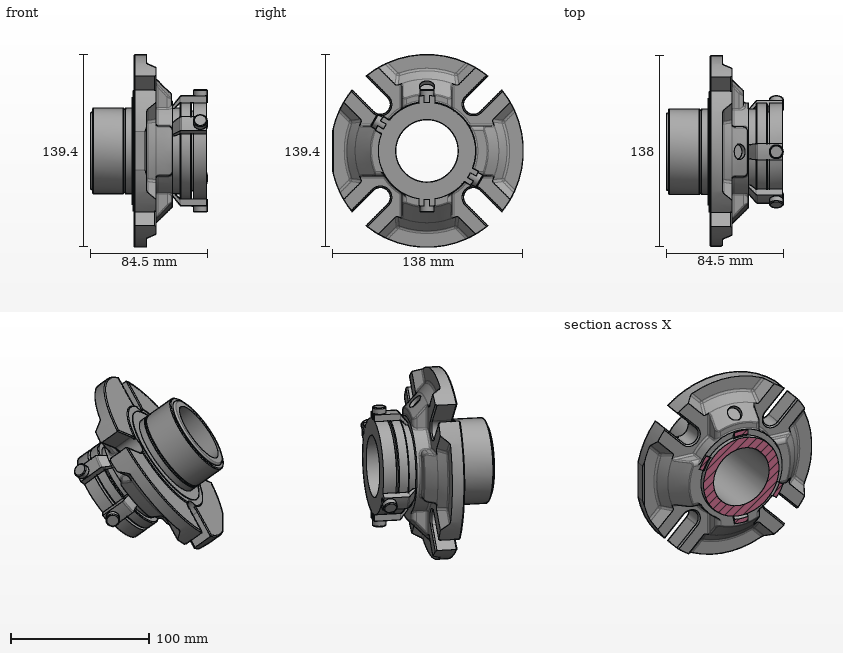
import cadquery as cq
import math


bore_radius = 22.52
nose_radius = 28.2
nose_length = 1.5
nose_round = 1.4
sleeve_radius = 31.1
sleeve_edge = 0.7
sleeve_groove_radius = 30.19
sleeve_groove_start = 24.4
sleeve_groove_end = 25.5
gland_body_radius = 35.4
gland_body_end = 59.3
ring_radius = 35.1
ring_start = 64.8
ring_end = 73.0
ring_edge = 0.7
neck_radius = 28.94
collar_start = 74.5
collar_end = 84.1

flange_radius = 69.7
flange_front = 31.4
flange_back = 47.5
flange_edge = 0.8
flat_offset = 68.3
flat_chamfer_depth = 0.8
flat_chamfer_length = 1.3
register_radius = 38.6
register_front = 30.3
raised_face_front = 30.7
raised_face_radius = 43.2
raised_face_base_radius = 43.9

slot_angles = (45, 135, 225, 315)
slot_width = 14.2
slot_end_distance = 47.5
slot_back_chamfer = 1.1

recess_floor = 40.7
wall_offset_floor = 23.8
wall_offset_back = 17.7
recess_corner_round = 2.8
recess_floor_round = 2.6

lug_half_width = 18.1
lug_base_radius = 52.0
lug_tip_radius = 40.6
lug_end_round = 3.3
lug_base_round = 1.4
lug_edge_round = 1.3
lug_ends = {0: 58.7, 90: gland_body_end, 180: gland_body_end, 270: 55.8}
lug_slope = (lug_base_radius - lug_tip_radius) / (gland_body_end - flange_back)

port_diameter = 11.0
port_depth = 3.3
port_position = 53.0

clip_angles = (0, 60, 180, 240)
clip_width = 11.7
clip_outer_radius = 40.0
clip_bend_start = 65.3
clip_foot_end = 60.8
clip_foot_width = 10.0
clip_foot_height = 1.4
clip_bend_round = 1.4
screw_diameter = 10.0
screw_position = 79.5
screw_top_radius = 44.3
screw_edge = 0.7

reach = 2 * flange_radius
clearance = 1.4
tolerance = 0.1


def turned(points):
    """Revolve an (x, radius) outline about the X axis."""
    return cq.Workplane("XY").polyline(points).close().revolve(360, (0, 0, 0), (1, 0, 0))


def cylinder(start, end, radius):
    return cq.Workplane("YZ", origin=(start, 0, 0)).circle(radius).extrude(end - start)


def around_axis(shape, angle):
    return shape.rotate((0, 0, 0), (1, 0, 0), angle)


def lug_radius_at(x):
    return lug_base_radius - lug_slope * (x - flange_back)


def make_sleeve():
    nose = cylinder(0, nose_length, nose_radius).faces("<X").edges().fillet(nose_round)
    head = cylinder(nose_length, sleeve_groove_start, sleeve_radius).edges().chamfer(sleeve_edge)
    groove = cylinder(sleeve_groove_start, sleeve_groove_end, sleeve_groove_radius)
    tube = cylinder(sleeve_groove_end, ring_start, sleeve_radius)
    ring = cylinder(ring_start, ring_end, ring_radius).edges().chamfer(ring_edge)
    neck = cylinder(ring_end, collar_start, neck_radius)
    collar = cylinder(collar_start, collar_end, ring_radius)
    return nose.union(head).union(groove).union(tube).union(ring).union(neck).union(collar)


def make_slot():
    """Open slot along +Z with a round inner end, and the flare that chamfers its back edge."""
    length = flange_back - register_front

    def slot_prism(start, depth, half_width, taper):
        return (
            cq.Workplane("YZ", origin=(start, 0, 0))
            .moveTo(-half_width, reach)
            .lineTo(-half_width, slot_end_distance)
            .threePointArc((0, slot_end_distance - half_width), (half_width, slot_end_distance))
            .lineTo(half_width, reach)
            .close()
            .extrude(depth, taper=taper)
        )

    straight = slot_prism(register_front, length, slot_width / 2, 0)
    flare = slot_prism(flange_back - slot_back_chamfer, slot_back_chamfer, slot_width / 2, -45)
    return straight, flare


def make_recess():
    """Recess behind the +Z segment of the rim, from the lug taper outward."""
    ring = turned([
        (recess_floor, lug_radius_at(recess_floor)),
        (recess_floor, flange_radius + clearance),
        (flange_back, flange_radius + clearance),
        (flange_back, lug_base_radius),
    ])
    pad = (
        cq.Workplane("XY", origin=(0, 0, -reach))
        .polyline([
            (recess_floor, wall_offset_floor),
            (flange_back, wall_offset_back),
            (flange_back, -wall_offset_back),
            (recess_floor, -wall_offset_floor),
        ])
        .close()
        .extrude(2 * reach)
    )
    for angle in slot_angles[:2]:
        ring = ring.cut(around_axis(pad, angle))
    recess = cq.Workplane(ring.solids(">Z").val())
    inner_height = lug_radius_at(recess_floor) + tolerance
    corner_edges = cq.selectors.BoxSelector(
        (recess_floor + tolerance, -reach, 0), (flange_back - tolerance, reach, inner_height)
    )
    recess = recess.edges(corner_edges).fillet(recess_corner_round)
    floor_edges = cq.selectors.BoxSelector(
        (recess_floor - tolerance, -reach, 0), (recess_floor + tolerance, reach, inner_height)
    )
    return recess.edges(floor_edges).fillet(recess_floor_round)


def make_flange():
    plate = cylinder(flange_front, flange_back, flange_radius)
    beyond_flat = cq.Workplane("XY").box(reach, reach, reach).translate((0, -flat_offset - reach / 2, 0))
    plate = plate.cut(beyond_flat)
    straight, flare = make_slot()
    for angle in slot_angles:
        plate = plate.cut(around_axis(straight, angle))
    plate = plate.faces("<X").edges().chamfer(flange_edge)
    raised_face = turned([
        (raised_face_front, 0),
        (raised_face_front, raised_face_radius),
        (flange_front, raised_face_base_radius),
        (flange_back, raised_face_base_radius),
        (flange_back, 0),
    ])
    plate = plate.union(raised_face)
    recess = make_recess()
    for angle in slot_angles:
        plate = plate.cut(around_axis(straight, angle))
        plate = plate.cut(around_axis(flare, angle))
        plate = plate.cut(around_axis(recess, angle - slot_angles[0]))
    flat_chamfer = (
        cq.Workplane("XY", origin=(0, 0, -wall_offset_floor))
        .polyline([
            (recess_floor, -flat_offset + flat_chamfer_depth),
            (recess_floor - flat_chamfer_length, -flat_offset),
            (recess_floor - flat_chamfer_length, -flange_radius),
            (recess_floor, -flange_radius),
        ])
        .close()
        .extrude(2 * wall_offset_floor)
    )
    return plate.cut(flat_chamfer)


def make_lug_block(end):
    """Straight-sided block along +Z with rounded corners at its +X end."""
    return (
        cq.Workplane("XY", origin=(flange_back, 0, 0))
        .rect(2 * (end - flange_back), 2 * lug_half_width)
        .extrude(reach)
        .edges("|Z")
        .fillet(lug_end_round)
    )


def make_tapered_body():
    """Tapered body behind the flange, cut back to a cylinder between the four lugs."""
    overrun = 2 * clearance
    body = turned([
        (flange_back, 0),
        (flange_back, lug_base_radius),
        (gland_body_end, lug_tip_radius),
        (gland_body_end, 0),
    ])
    length = gland_body_end + overrun - flange_back
    gaps = cylinder(flange_back, flange_back + length, flange_radius)
    gaps = gaps.cut(cylinder(flange_back, flange_back + length, gland_body_radius))
    for angle, end in lug_ends.items():
        gaps = gaps.cut(around_axis(make_lug_block(end), angle))

    cylinder_edges = cq.selectors.BoxSelector(
        (flange_back - tolerance, -gland_body_radius, -gland_body_radius),
        (gland_body_end + overrun / 2, gland_body_radius, gland_body_radius),
    )
    flange_edges = gaps.faces("<X").edges("%LINE")
    gaps = gaps.edges(cylinder_edges).add(flange_edges).fillet(lug_base_round)
    body = body.cut(gaps)
    return body.faces("%CONE").edges("not <X").fillet(lug_edge_round)


def make_port():
    slope_angle = math.atan(lug_slope)
    outward = (math.sin(slope_angle), 0, math.cos(slope_angle))
    mouth = cq.Vector(port_position, 0, lug_radius_at(port_position))
    floor = mouth - cq.Vector(*outward) * port_depth
    plane = cq.Plane(floor.toTuple(), (0, 1, 0), outward)
    return cq.Workplane(plane).circle(port_diameter / 2).extrude(2 * port_depth)


def make_clip():
    """Bent clip with its screw head on the +Z side."""
    band = turned([
        (gland_body_end, sleeve_radius),
        (gland_body_end, sleeve_radius + clip_foot_height),
        (clip_bend_start, clip_outer_radius),
        (collar_end, clip_outer_radius),
        (collar_end, ring_radius),
        (ring_start, ring_radius),
        (clip_foot_end, sleeve_radius),
    ])
    bend = cq.selectors.BoxSelector(
        (clip_bend_start - tolerance, -reach, -reach), (clip_bend_start + tolerance, reach, reach)
    )
    band = band.edges(bend).fillet(clip_bend_round)
    half_strip = (
        cq.Workplane("XY")
        .polyline([
            (gland_body_end, 0),
            (gland_body_end, clip_foot_width / 2),
            (ring_start, clip_width / 2),
            (collar_end, clip_width / 2),
            (collar_end, 0),
        ])
        .close()
        .extrude(reach)
    )
    strip = half_strip.union(half_strip.mirror("XZ"))
    head = (
        cq.Workplane("XY", origin=(screw_position, 0, ring_radius))
        .circle(screw_diameter / 2)
        .extrude(screw_top_radius - ring_radius)
        .faces(">Z").edges().chamfer(screw_edge)
    )
    return band.intersect(strip).union(head)


gland = make_flange()
gland = gland.union(cylinder(register_front, flange_back, register_radius))
gland = gland.union(make_tapered_body())
gland = gland.cut(make_port())

result = gland.union(make_sleeve())
clip = make_clip()
for angle in clip_angles:
    result = result.union(around_axis(clip, angle))
result = result.cut(cylinder(-clearance, collar_end + clearance, bore_radius))